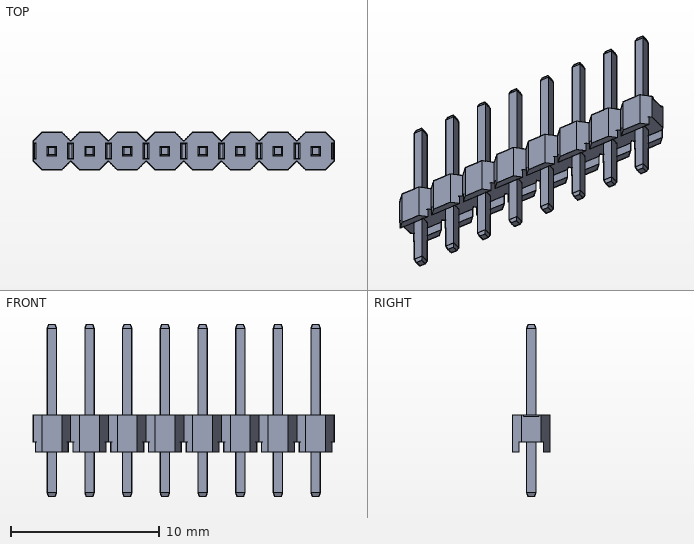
import cadquery as cq


pin_count = 8
row_length = 20.32
pitch = row_length / pin_count
housing_height = 2.5
side_flat = 1.35
cell_corner = (pitch - side_flat) / 2

relief_height = 0.67
channel_width = 1.65
joint_gap = 0.22

groove_depth = 0.12
groove_top_width = 0.4
groove_floor_width = 0.2
groove_top_length = 1.1
groove_floor_length = 0.98

tip_width = 0.45
tip_inset = 0.098
tip_height = 0.26
pin_width = tip_width + 2 * tip_inset
pin_above = 6.1
pin_below = 3.0

cell_centres = [((i + 0.5) * pitch - row_length / 2, 0) for i in range(pin_count)]
joint_centres = [(i * pitch - row_length / 2, 0) for i in range(pin_count + 1)]


def make_cells():
    """Row of square cells with bevelled vertical edges, touching at the joints."""
    cell = cq.Workplane("XY").box(pitch, pitch, housing_height, centered=(True, True, False))
    cell = cell.edges("|Z").chamfer(cell_corner)
    row = cq.Workplane("XY")
    for x, y in cell_centres:
        row = row.union(cell.translate((x, y, 0)))
    return row


def make_underside_relief():
    """Channel along the row plus a narrow gap across it at every joint."""
    channel = cq.Workplane("XY").rect(row_length, channel_width).extrude(relief_height)
    gaps = (
        cq.Workplane("XY")
        .pushPoints(joint_centres)
        .rect(joint_gap, pitch)
        .extrude(relief_height)
    )
    return channel.union(gaps)


def make_groove():
    """Tapered groove cutter, centred on a joint."""
    return (
        cq.Workplane("XY", origin=(0, 0, housing_height))
        .rect(groove_top_width, groove_top_length)
        .workplane(offset=-groove_depth)
        .rect(groove_floor_width, groove_floor_length)
        .loft(ruled=True)
    )


def make_tip():
    """Tapered pin end that starts on Z = 0 and points up."""
    return (
        cq.Workplane("XY")
        .rect(pin_width, pin_width)
        .workplane(offset=tip_height)
        .rect(tip_width, tip_width)
        .loft(ruled=True)
    )


def make_pin():
    """Square pin with a tapered tip at both ends."""
    shaft_bottom = tip_height - pin_below
    shaft_top = housing_height + pin_above - tip_height
    shaft = (
        cq.Workplane("XY", origin=(0, 0, shaft_bottom))
        .rect(pin_width, pin_width)
        .extrude(shaft_top - shaft_bottom)
    )
    upper_tip = make_tip().translate((0, 0, shaft_top))
    lower_tip = make_tip().mirror("XY").translate((0, 0, shaft_bottom))
    return shaft.union(upper_tip).union(lower_tip)


housing = make_cells().cut(make_underside_relief())

groove = make_groove()
for x, y in joint_centres:
    housing = housing.cut(groove.translate((x, y, 0)))

result = housing
pin = make_pin()
for x, y in cell_centres:
    result = result.union(pin.translate((x, y, 0)))